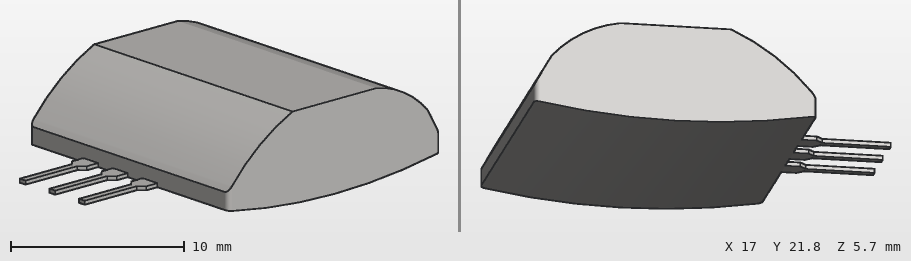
import cadquery as cq
import math

body_width = 17.0
body_depth = 16.5
body_height = 5.7
wall_bottom = 0.75
front_wall_top = 1.85
back_wall_top = 1.75
flat_front = 5.0
flat_depth = 6.5
flat_back = flat_front + flat_depth
front_dome_radius = 13.0
back_dome_radius = 6.75
back_slope_depth = 0.98
back_slope_top = 3.5
corner_radius = 0.3

lead_count = 3
lead_pitch = 2.54
middle_lead_x = -0.735
lead_length = 5.3
lead_thickness = 0.25
shoulder_width = 1.27
shoulder_length = 0.88
pin_width = 0.5
lead_embed = 0.5


def arc_midpoint(start, end, radius):
    """Middle of the shorter arc, bulging to the left of the way from start to end."""
    run = end[0] - start[0]
    rise = end[1] - start[1]
    chord = math.hypot(run, rise)
    bulge = radius - math.sqrt(radius ** 2 - (chord / 2) ** 2)
    mid_y = (start[0] + end[0]) / 2 - bulge * rise / chord
    mid_z = (start[1] + end[1]) / 2 + bulge * run / chord
    return mid_y, mid_z


def make_body():
    front_top = (0, front_wall_top)
    flat_start = (flat_front, body_height)
    flat_end = (flat_back, body_height)
    slope_top = (body_depth - back_slope_depth, back_slope_top)
    section = (
        cq.Workplane("YZ", origin=(-body_width / 2, 0, 0))
        .moveTo(0, wall_bottom)
        .lineTo(*front_top)
        .threePointArc(arc_midpoint(front_top, flat_start, front_dome_radius), flat_start)
        .lineTo(*flat_end)
        .threePointArc(arc_midpoint(flat_end, slope_top, back_dome_radius), slope_top)
        .lineTo(body_depth, back_wall_top)
        .lineTo(body_depth, wall_bottom)
        .threePointArc((body_depth / 2, 0), (0, wall_bottom))
        .close()
        .extrude(body_width)
    )
    rounded_block = (
        cq.Workplane("XY")
        .box(body_width, body_depth, body_height, centered=(True, False, False))
        .edges("|Z")
        .fillet(corner_radius)
    )
    return section.intersect(rounded_block)


def make_lead(center_x):
    half_shoulder = shoulder_width / 2
    half_pin = pin_width / 2
    taper_end = shoulder_length + half_shoulder - half_pin
    outline = [
        (-half_shoulder, lead_embed),
        (-half_shoulder, -shoulder_length),
        (-half_pin, -taper_end),
        (-half_pin, -lead_length),
        (half_pin, -lead_length),
        (half_pin, -taper_end),
        (half_shoulder, -shoulder_length),
        (half_shoulder, lead_embed),
    ]
    return (
        cq.Workplane("XY", origin=(center_x, 0, wall_bottom))
        .polyline(outline)
        .close()
        .extrude(lead_thickness)
    )


result = make_body()
for index in range(lead_count):
    steps_from_middle = index - (lead_count - 1) / 2
    result = result.union(make_lead(middle_lead_x + steps_from_middle * lead_pitch))